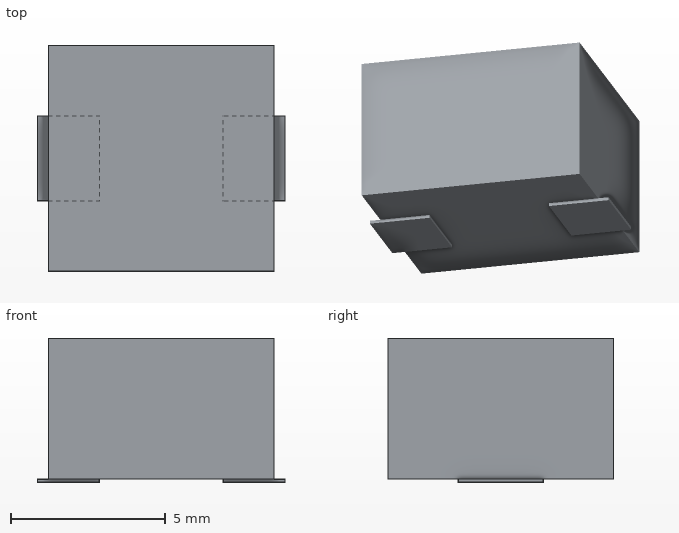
import cadquery as cq

housing_side = 7.3
overall_height = 4.65

terminal_span = 8.0
terminal_length = 2.0
terminal_width = 2.75
terminal_thickness = 0.1

housing_height = overall_height - terminal_thickness
terminal_offset = (terminal_span - terminal_length) / 2


def make_housing():
    """Plain block whose underside sits on top of the terminals."""
    return (
        cq.Workplane("XY")
        .workplane(offset=terminal_thickness)
        .rect(housing_side, housing_side)
        .extrude(housing_height)
    )


def make_terminal(side):
    """Flat strip projecting past the housing; side is -1 or +1 along X."""
    return (
        cq.Workplane("XY")
        .center(side * terminal_offset, 0)
        .rect(terminal_length, terminal_width)
        .extrude(terminal_thickness)
    )


housing = make_housing()
terminals = [make_terminal(side) for side in (-1, 1)]

result = cq.Compound.makeCompound(
    [housing.val(), *[terminal.val() for terminal in terminals]]
)